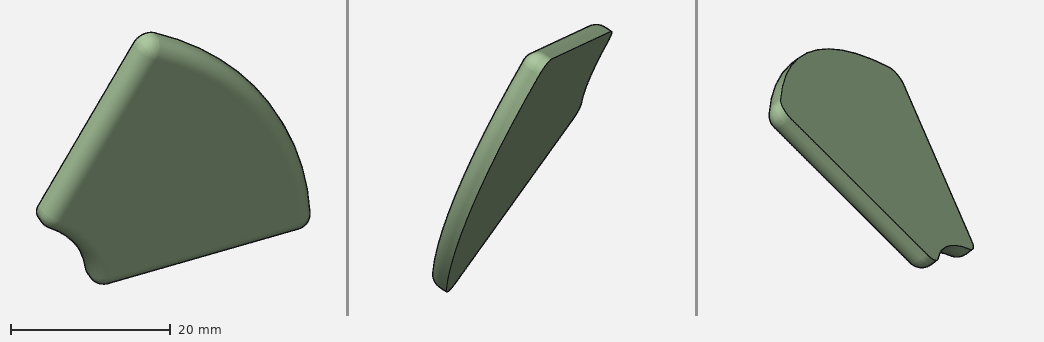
import cadquery as cq
import math

outer_radius = 45.0
inner_radius = 15.0
sector_angle = 60.0
thickness = 3.0
corner_radius = 2.02
edge_radius = 2.0


def polar(radius, angle):
    """Point in the YZ plane, with the angle in degrees from +Y towards +Z."""
    return (radius * math.cos(math.radians(angle)), radius * math.sin(math.radians(angle)))


sector = (
    cq.Workplane("YZ")
    .moveTo(inner_radius, 0)
    .lineTo(outer_radius, 0)
    .threePointArc(polar(outer_radius, sector_angle / 2), polar(outer_radius, sector_angle))
    .lineTo(*polar(inner_radius, sector_angle))
    .threePointArc(polar(inner_radius, sector_angle / 2), (inner_radius, 0))
    .close()
    .extrude(thickness)
)

rounded_sector = sector.edges("|X").fillet(corner_radius)
result = rounded_sector.faces(">X").edges().fillet(edge_radius)